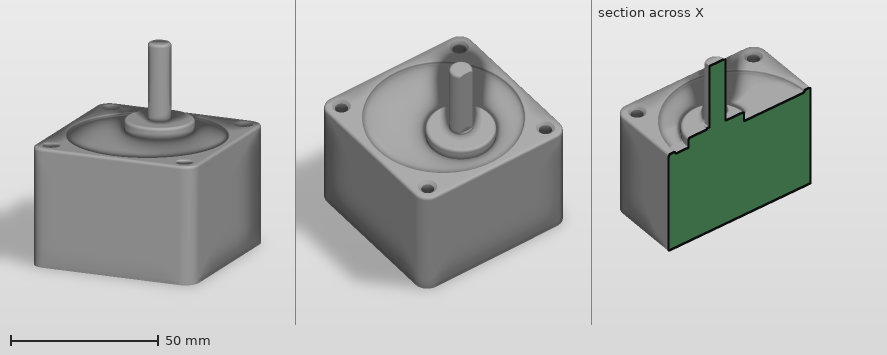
import cadquery as cq
import math

body_side = 60.8
body_height = 42.0
corner_radius = 5.0
edge_radius = 1.0

relief_radius = 27.5
relief_round = 0.5
relief_depth = 2 * relief_round

hole_diameter = 4.5
hole_offset = 24.8
countersink_depth = 1.0

shaft_offset = 10.0
boss_diameter = 24.0
boss_height = 3.0
boss_edge_radius = 1.0
shaft_diameter = 8.0
shaft_top = 72
shaft_edge_radius = 1.0
flat_depth = 1.0
flat_gap = 0.4

boss_top = body_height + boss_height


def make_body():
    block = cq.Workplane("XY").box(body_side, body_side, body_height, centered=(True, True, False))
    return block.edges("|Z").fillet(corner_radius).faces(">Z").edges().fillet(edge_radius)


def make_relief():
    """Shallow disc to cut away, with an S-shaped edge of two quarter arcs."""
    floor_z = body_height - relief_depth
    middle_z = body_height - relief_round
    floor_radius = relief_radius - relief_round
    rim_radius = relief_radius + relief_round
    arc_reach = relief_round * math.sqrt(0.5)
    profile = (
        cq.Workplane("XZ")
        .moveTo(0, floor_z)
        .lineTo(floor_radius, floor_z)
        .threePointArc((floor_radius + arc_reach, middle_z - arc_reach), (relief_radius, middle_z))
        .threePointArc((rim_radius - arc_reach, middle_z + arc_reach), (rim_radius, body_height))
        .lineTo(0, body_height)
        .close()
    )
    return profile.revolve(360, (0, 0, 0), (0, 1, 0))


def make_corner_hole(x, y):
    hole_radius = hole_diameter / 2
    mouth_radius = hole_radius + countersink_depth
    bore = cq.Workplane("XY").center(x, y).circle(hole_radius).extrude(body_height)
    countersink = cq.Solid.makeCone(
        hole_radius,
        mouth_radius,
        countersink_depth,
        pnt=cq.Vector(x, y, body_height - countersink_depth),
    )
    return bore.union(cq.Workplane(countersink))


def make_boss():
    """Round boss, rooted in the relief floor."""
    root = body_height - relief_depth
    disc = (
        cq.Workplane("XY", origin=(0, shaft_offset, root))
        .circle(boss_diameter / 2)
        .extrude(boss_top - root)
    )
    return disc.faces(">Z").edges().fillet(boss_edge_radius)


def make_shaft():
    """Round shaft with a flat on its +Y side that stops just above the boss."""
    shaft = (
        cq.Workplane("XY", origin=(0, shaft_offset, boss_top))
        .circle(shaft_diameter / 2)
        .extrude(shaft_top - boss_top)
        .faces(">Z")
        .edges()
        .fillet(shaft_edge_radius)
    )
    flat_start = boss_top + flat_gap
    flat_y = shaft_offset + shaft_diameter / 2 - flat_depth
    flat_cut = cq.Workplane("XY", origin=(0, flat_y, flat_start)).box(
        shaft_diameter, shaft_diameter, shaft_top - flat_start, centered=(True, False, False)
    )
    return shaft.cut(flat_cut)


result = make_body().cut(make_relief())
for x in (-hole_offset, hole_offset):
    for y in (-hole_offset, hole_offset):
        result = result.cut(make_corner_hole(x, y))
result = result.union(make_boss()).union(make_shaft())